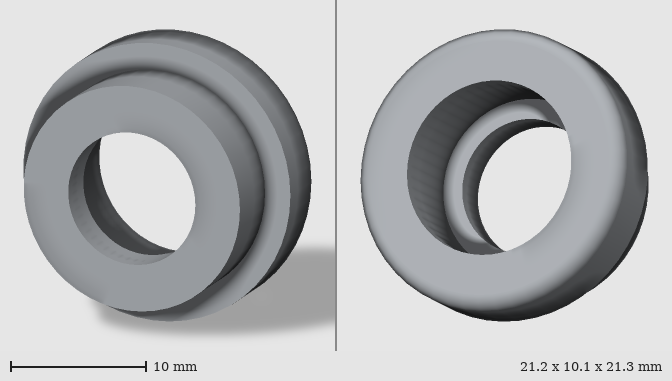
import cadquery as cq

flange_diameter = 21.25
shank_diameter = 17.22
bore_diameter = 10.12
total_length = 10.12
flange_thickness = total_length / 2
rim_radius = 1.02
bore_length = 3.05
counterbore_diameter = 13.15

shank_end_y = -total_length / 2
flange_face_y = total_length / 2 - flange_thickness


def cylinder_along_y(diameter, start_y, length):
    """Solid cylinder on the Y axis, running toward +Y from start_y."""
    plane = cq.Plane(origin=(0, start_y, 0), xDir=(1, 0, 0), normal=(0, 1, 0))
    return cq.Workplane(plane).circle(diameter / 2).extrude(length)


flange = cylinder_along_y(flange_diameter, flange_face_y, flange_thickness)
flange = flange.faces(">Y").edges().fillet(rim_radius)
shank = cylinder_along_y(shank_diameter, shank_end_y, total_length - flange_thickness)
bore = cylinder_along_y(bore_diameter, shank_end_y, bore_length)

counterbore_start_y = shank_end_y + bore_length
counterbore = cylinder_along_y(counterbore_diameter, counterbore_start_y, total_length - bore_length)

result = flange.union(shank).cut(bore).cut(counterbore)